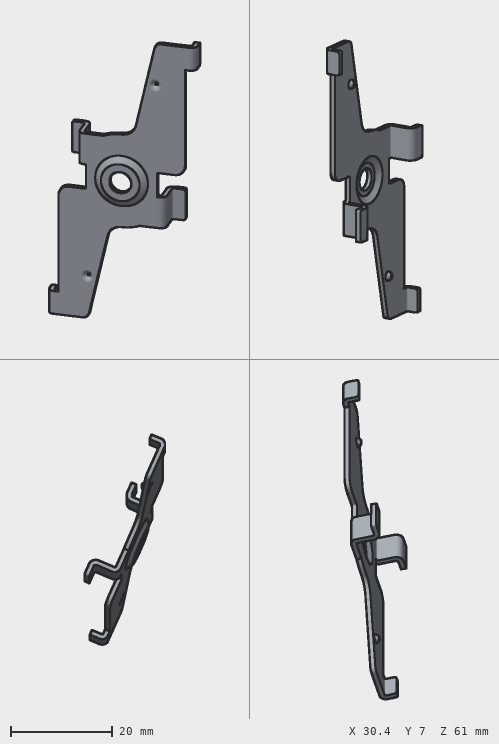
import cadquery as cq
import math

length = 61.0
width = 30.4
thickness = 1.05
inner_bend = 0.25
outer_bend = inner_bend + thickness
top = length / 2
side = width / 2

arm_edge_x = 13.0
arm_corner_x = 6.95
arm_slant = 12.5
arm_top_radius = 1.3
arm_base_radius = 2.0
arm_blend_radius = 3.0

hub_radius = 10.0
neck_x = 7.3
notch_z = 2.6
notch_radius = 0.3
body_top = 9.3

end_tab_bottom = 25.55
end_tab_depth = 3.4
tip_radius = 0.5

hook_wall_x = 8.95
hook_tip_x = 11.65
hook_depth = 6.1
lip_inner_bend = 0.4
lip_outer_bend = lip_inner_bend + thickness

hole_radius = 2.25
seat_height = 0.9
seat_base_radius = 5.4
seat_top_radius = 3.95
seat_bulge = 0.09
hollow_inset = 0.6

dimple_x = 6.95
dimple_z = 21.5
dimple_mouth_radius = 1.3
dimple_floor_radius = 0.25
dimple_depth = 0.9
dimple_bulge = -0.2
bump_base_radius = 1.0
bump_tip_radius = 0.3
bump_height = 0.8
bump_bulge = 0.09


def extrude_back(outline, start, depth):
    """Extrude an XZ outline toward +Y from Y = start."""
    return outline.extrude(-depth).translate((0, start, 0))


def round_at(body, x, z, radius):
    """Round the edge along Y that passes through the point (x, z)."""
    reach = 0.03
    near_corner = (x - reach, -reach, z - reach)
    far_corner = (x + reach, thickness + reach, z + reach)
    box = cq.selectors.BoxSelector(near_corner, far_corner)
    return body.edges(box).fillet(radius)


def half_turn(body):
    """Copy a body to the opposite end of the part."""
    return body.rotate((0, 0, 0), (0, 1, 0), 180)


def half_plate():
    """Flat sheet of the upper half: arm, hub and the strip up to each bend."""
    slope = math.tan(math.radians(arm_slant))
    foot_x = arm_corner_x - slope * top
    square_term = 1 + slope ** 2
    half_linear_term = slope * foot_x
    constant_term = foot_x ** 2 - hub_radius ** 2
    discriminant = half_linear_term ** 2 - square_term * constant_term
    meet_z = (math.sqrt(discriminant) - half_linear_term) / square_term
    meet_x = foot_x + slope * meet_z
    hub_x = math.sqrt(hub_radius ** 2 - body_top ** 2)
    hook_bend_x = hook_wall_x - outer_bend
    end_bend_x = side - outer_bend
    plate = extrude_back(
        cq.Workplane("XZ")
        .moveTo(-neck_x, 0)
        .lineTo(-neck_x, notch_z)
        .lineTo(-hook_bend_x, notch_z)
        .lineTo(-hook_bend_x, body_top)
        .lineTo(-hub_x, body_top)
        .threePointArc((0, hub_radius), (meet_x, meet_z))
        .lineTo(arm_corner_x, top)
        .lineTo(end_bend_x, top)
        .lineTo(end_bend_x, end_tab_bottom)
        .lineTo(arm_edge_x, end_tab_bottom)
        .lineTo(arm_edge_x, notch_z)
        .lineTo(neck_x, notch_z)
        .lineTo(neck_x, 0)
        .close(),
        0, thickness)
    plate = round_at(plate, arm_corner_x, top, arm_top_radius)
    plate = round_at(plate, meet_x, meet_z, arm_blend_radius)
    plate = round_at(plate, arm_edge_x, notch_z, arm_base_radius)
    for x in (-neck_x, neck_x):
        plate = round_at(plate, x, notch_z, notch_radius)
    return plate


def bend_middle(center, radius, x_side, y_side):
    """Middle of a quarter-circle bend on the given sides (+1 or -1) of its center."""
    offset = radius * math.sqrt(0.5)
    return (center[0] + x_side * offset, center[1] + y_side * offset)


def end_tab():
    """Right-angle bend and wall at the arm tip, with rounded free corners."""
    bend = (side - outer_bend, outer_bend)
    tab = (
        cq.Workplane("XY", origin=(0, 0, end_tab_bottom))
        .moveTo(bend[0], 0)
        .threePointArc(bend_middle(bend, outer_bend, 1, -1), (side, bend[1]))
        .lineTo(side, end_tab_depth)
        .lineTo(side - thickness, end_tab_depth)
        .lineTo(side - thickness, bend[1])
        .threePointArc(bend_middle(bend, inner_bend, 1, -1), (bend[0], thickness))
        .close()
        .extrude(top - end_tab_bottom)
    )
    return tab.faces(">Y").edges("|X").fillet(tip_radius)


def hook():
    """Double bend on the left of the body, ending in an outward lip."""
    outer_x = -hook_wall_x
    inner_x = outer_x + thickness
    lip_front_y = hook_depth - thickness
    bend = (outer_x + outer_bend, outer_bend)
    lip_bend = (inner_x - lip_outer_bend, hook_depth - lip_outer_bend)
    body = (
        cq.Workplane("XY", origin=(0, 0, notch_z))
        .moveTo(bend[0], 0)
        .threePointArc(bend_middle(bend, outer_bend, -1, -1), (outer_x, bend[1]))
        .lineTo(outer_x, lip_bend[1])
        .threePointArc(bend_middle(lip_bend, lip_inner_bend, 1, 1), (lip_bend[0], lip_front_y))
        .lineTo(-hook_tip_x, lip_front_y)
        .lineTo(-hook_tip_x, hook_depth)
        .lineTo(lip_bend[0], hook_depth)
        .threePointArc(bend_middle(lip_bend, lip_outer_bend, 1, 1), (inner_x, lip_bend[1]))
        .lineTo(inner_x, bend[1])
        .threePointArc(bend_middle(bend, inner_bend, -1, -1), (bend[0], thickness))
        .close()
        .extrude(body_top - notch_z)
    )
    return body.faces("<X").edges("|Y").fillet(tip_radius)


def dome(base_radius, flat_radius, height, bulge):
    """Dome standing on Y = 0 toward +Y, with a flat tip and a side bowed outward by bulge."""
    chord = math.hypot(base_radius - flat_radius, height)
    side_middle = (
        (base_radius + flat_radius) / 2 + bulge * height / chord,
        height / 2 + bulge * (base_radius - flat_radius) / chord,
    )
    return (
        cq.Workplane("XY")
        .lineTo(base_radius, 0)
        .threePointArc(side_middle, (flat_radius, height))
        .lineTo(0, height)
        .close()
        .revolve(360, (0, 0, 0), (0, 1, 0))
    )


def dimple_bump():
    """Solid bump behind the sheet."""
    bump = dome(bump_base_radius, bump_tip_radius, bump_height, bump_bulge)
    return bump.translate((dimple_x, thickness, dimple_z))


def dimple_recess():
    """Tapered pocket pressed into the front of the sheet."""
    pocket = dome(dimple_mouth_radius, dimple_floor_radius, dimple_depth, dimple_bulge)
    return pocket.translate((dimple_x, 0, dimple_z))


def pivot_seat():
    """Dome raised from the front of the sheet."""
    seat = dome(seat_base_radius, seat_top_radius, seat_height, seat_bulge)
    return seat.rotate((0, 0, 0), (0, 0, 1), 180)


def seat_hollow():
    """Matching hollow behind the seat, leaving one sheet thickness of metal."""
    hollow = dome(seat_base_radius - hollow_inset, seat_top_radius - hollow_inset, seat_height, seat_bulge)
    return hollow.rotate((0, 0, 0), (0, 0, 1), 180).translate((0, thickness, 0))


half = half_plate().union(end_tab()).union(hook())
half = half.union(dimple_bump()).cut(dimple_recess())

pivot_hole = extrude_back(cq.Workplane("XZ").circle(hole_radius), -seat_height, seat_height + thickness)

result = half.union(half_turn(half)).union(pivot_seat()).cut(seat_hollow()).cut(pivot_hole)